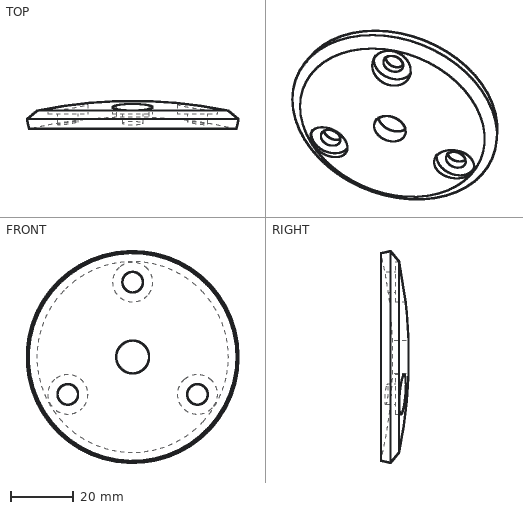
import cadquery as cq
import math

outer_diameter = 68.0
crown_depth = 9.05

dome_radius = 150.0
shell_thickness = 5.0
dish_radius = dome_radius - shell_thickness

front_rim_radius = 33.3
rim_width = 3.1
dome_edge_radius = 30.7

center_hole_diameter = 10.5
bolt_hole_count = 3
first_bolt_hole_angle = 90
bolt_circle_radius = 24.0
bolt_hole_diameter = 6.5
counterbore_diameter = 12.8
counterbore_floor = 4.75


def sphere_drop(sphere_radius, radius):
    """Distance a sphere falls away from its crown at the given radius."""
    return sphere_radius - math.sqrt(sphere_radius**2 - radius**2)


def dish_depth(radius):
    """Depth of the concave front face at the given radius, zero at the front rim."""
    return sphere_drop(dish_radius, front_rim_radius) - sphere_drop(dish_radius, radius)


def dome_depth(radius):
    """Depth of the convex back face at the given radius."""
    return crown_depth - sphere_drop(dome_radius, radius)


def shell_body():
    """Revolve the section outside the center hole (radius along X, depth along Y) about Y."""
    bore_radius = center_hole_diameter / 2
    dish_middle = (bore_radius + front_rim_radius) / 2
    dome_middle = (bore_radius + dome_edge_radius) / 2
    section = (
        cq.Workplane("XY")
        .moveTo(bore_radius, dish_depth(bore_radius))
        .threePointArc((dish_middle, dish_depth(dish_middle)), (front_rim_radius, 0))
        .lineTo(outer_diameter / 2, rim_width)
        .lineTo(dome_edge_radius, dome_depth(dome_edge_radius))
        .threePointArc(
            (dome_middle, dome_depth(dome_middle)),
            (bore_radius, dome_depth(bore_radius)),
        )
        .close()
    )
    return section.revolve(360, (0, 0, 0), (0, 1, 0))


def hole_cutter(diameter, start, x, z):
    """Cylinder along +Y that begins at depth `start` and leaves through the dome."""
    cylinder = cq.Solid.makeCylinder(
        diameter / 2, crown_depth - start, cq.Vector(x, start, z), cq.Vector(0, 1, 0)
    )
    return cq.Workplane(cylinder)


result = shell_body()

for index in range(bolt_hole_count):
    angle = math.radians(first_bolt_hole_angle + index * 360 / bolt_hole_count)
    hole_x = bolt_circle_radius * math.cos(angle)
    hole_z = bolt_circle_radius * math.sin(angle)
    result = result.cut(hole_cutter(bolt_hole_diameter, 0, hole_x, hole_z))
    result = result.cut(hole_cutter(counterbore_diameter, counterbore_floor, hole_x, hole_z))